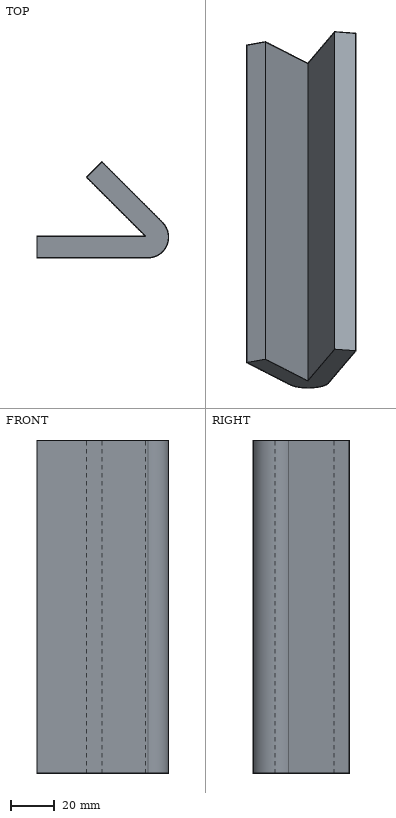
import cadquery as cq
import math

LENGTH = 152.4
THICKNESS = 10.0
BEND_RADIUS = 9.5
BASE_FLAT = 50.8
OVERALL_DEPTH = 44.01
LEG_ANGLE = math.radians(45)


def build_profile():
    """Bent strip: base leg along X, slanted leg folded back over it."""
    along = (-math.cos(LEG_ANGLE), math.sin(LEG_ANGLE))
    outward = (math.sin(LEG_ANGLE), math.cos(LEG_ANGLE))

    bend_end = (
        BASE_FLAT + BEND_RADIUS * outward[0],
        BEND_RADIUS + BEND_RADIUS * outward[1],
    )
    bend_middle = (
        BASE_FLAT + BEND_RADIUS * math.cos(LEG_ANGLE / 2),
        BEND_RADIUS - BEND_RADIUS * math.sin(LEG_ANGLE / 2),
    )
    slant_flat = (OVERALL_DEPTH - bend_end[1]) / along[1]
    outer_tip = (bend_end[0] + slant_flat * along[0], OVERALL_DEPTH)
    inner_tip = (
        outer_tip[0] - THICKNESS * outward[0],
        outer_tip[1] - THICKNESS * outward[1],
    )
    inner_corner_x = BASE_FLAT - (THICKNESS - BEND_RADIUS) / math.tan(LEG_ANGLE / 2)

    return (
        cq.Workplane("XY")
        .moveTo(0, 0)
        .lineTo(BASE_FLAT, 0)
        .threePointArc(bend_middle, bend_end)
        .lineTo(*outer_tip)
        .lineTo(*inner_tip)
        .lineTo(inner_corner_x, THICKNESS)
        .lineTo(0, THICKNESS)
        .close()
    )


result = build_profile().extrude(LENGTH)